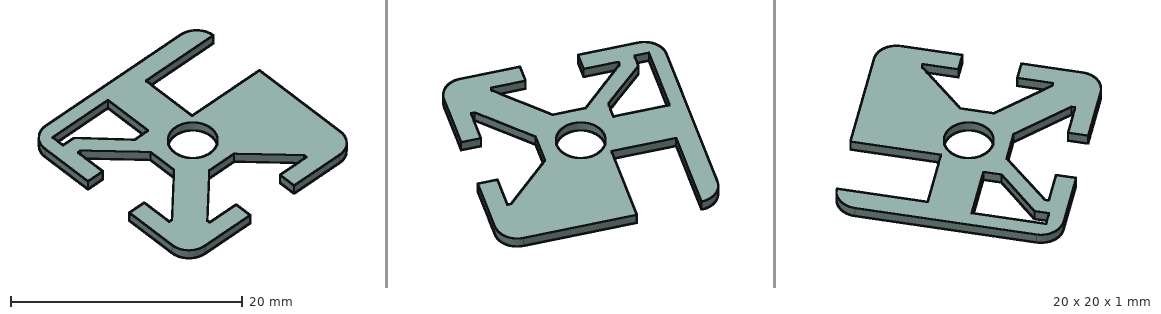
import cadquery as cq

SIDE = 20.0
THICKNESS = 1.0
CORNER_RADIUS = 2.0
BORE_DIAMETER = 4.3

LIP_THICKNESS = 1.78
OPENING_WIDTH = 5.2
CAVITY_WIDTH = 11.48
FLOOR_WIDTH = 2.95
FLOOR_DISTANCE = 3.65

OPEN_SLOT_LEFT = -8.0
OPEN_SLOT_RIGHT = -2.2
OPEN_SLOT_BOTTOM = 2.0

POCKET_WALL = 1.45
POCKET_RIGHT = -3.5
POCKET_TOP = -2.0
POCKET_DIAGONAL_TOP = -3.6
POCKET_FOOT_WIDTH = 1.3

HALF_SIDE = SIDE / 2


def prism(points):
    """Extrude a closed outline through the plate thickness."""
    return cq.Workplane("XY").polyline(points).close().extrude(THICKNESS)


def t_slot(angle):
    """T-slot opening toward +X, turned about the plate centre."""
    lip_face = HALF_SIDE - LIP_THICKNESS
    opening = OPENING_WIDTH / 2
    cavity = CAVITY_WIDTH / 2
    floor = FLOOR_WIDTH / 2
    flank_end = FLOOR_DISTANCE + cavity - floor
    upper = [
        (FLOOR_DISTANCE, floor),
        (flank_end, cavity),
        (lip_face, cavity),
        (lip_face, opening),
        (HALF_SIDE, opening),
    ]
    lower = [(x, -y) for x, y in reversed(upper)]
    return prism(upper + lower).rotate((0, 0, 0), (0, 0, 1), angle)


def open_slot():
    return prism([
        (OPEN_SLOT_LEFT, OPEN_SLOT_BOTTOM),
        (OPEN_SLOT_RIGHT, OPEN_SLOT_BOTTOM),
        (OPEN_SLOT_RIGHT, HALF_SIDE),
        (OPEN_SLOT_LEFT, HALF_SIDE),
    ])


def corner_pocket():
    outer = POCKET_WALL - HALF_SIDE
    foot = outer + POCKET_FOOT_WIDTH
    return prism([
        (outer, outer),
        (foot, outer),
        (foot, foot),
        (POCKET_RIGHT, POCKET_DIAGONAL_TOP),
        (POCKET_RIGHT, POCKET_TOP),
        (outer, POCKET_TOP),
    ])


plate = (
    cq.Workplane("XY")
    .rect(SIDE, SIDE)
    .extrude(THICKNESS)
    .edges("|Z")
    .fillet(CORNER_RADIUS)
)
bore = cq.Workplane("XY").circle(BORE_DIAMETER / 2).extrude(THICKNESS)

result = plate.cut(bore).cut(open_slot()).cut(corner_pocket())
for slot_angle in (0, -90):
    result = result.cut(t_slot(slot_angle))